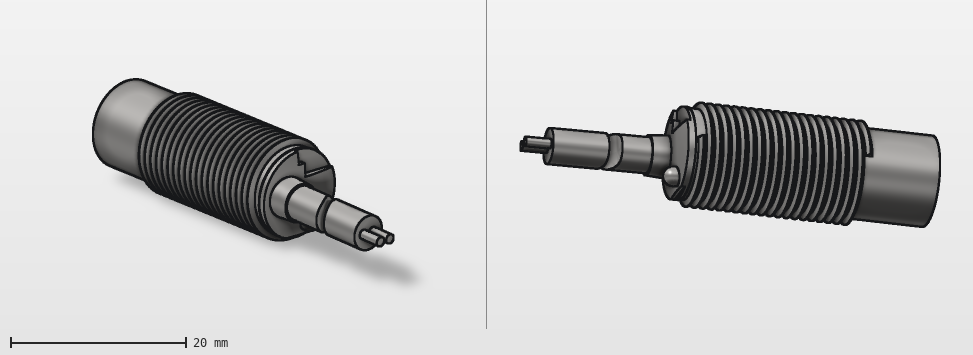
import cadquery as cq
import math

TOTAL_LENGTH = 47.4

HOUSING_RADIUS = 5.25
HOUSING_LENGTH = 29.05
THREAD_RADIUS = 6.0
THREAD_PITCH = 1.0
THREAD_TURNS = 20
THREAD_START = 8.45
THREAD_BASE_WIDTH = 0.95
THREAD_CREST_WIDTH = 0.1
THREAD_ROOT_SINK = 0.15

REAR_TILT = 1.2

CAP_RADIUS = 5.35
CAP_RIM_X = 29.95
CAP_DOME_X = 30.53
DOME_MID_RADIUS = 2.85
DOME_MID_X = 30.4
NOTCH_FLOOR_X = 29.55
NOTCH_STEPS = ((-0.4, 3.8), (0.47, 2.2))
BOTTOM_FLAT_DEPTH = 0.45

CABLE_Y = -2.15
CABLE_Z = 0.3
CABLE_RADIUS = 2.1
GLAND_BASE_RADIUS = 2.45
GLAND_TIP_RADIUS = 2.3
GLAND_END_X = 32.65
BREAK_INNER_X = 36.2
BREAK_MIDDLE_X = 37.8
BREAK_OUTER_X = 39.1
SHEATH_END_X = 44.4
WIRE_RADIUS = 0.55
WIRE_SPACING = 1.4

LIGHT_RADIUS = 1.15
LIGHT_CENTER_X = 30.6
LIGHT_Y = 1.05
LIGHT_Z = -3.35


def rod(radius, start, end, y=0.0, z=0.0):
    """Cylinder along X."""
    return cq.Workplane("YZ", origin=(start, y, z)).circle(radius).extrude(end - start)


def box_between(low, high):
    """Axis-aligned box given by two opposite corners."""
    size = [b - a for a, b in zip(low, high)]
    return cq.Workplane("XY").box(*size, centered=False).translate(low)


def tilt(shape):
    """Lean a shape about the centre of the joint between housing and cap."""
    pivot = (HOUSING_LENGTH, 0, 0)
    return shape.rotate(pivot, (HOUSING_LENGTH, 1, 0), REAR_TILT)


def make_thread():
    """Right-handed helical ridge starting on the +Y side."""
    root_radius = HOUSING_RADIUS - THREAD_ROOT_SINK
    helix = cq.Wire.makeHelix(THREAD_PITCH, THREAD_PITCH * THREAD_TURNS, HOUSING_RADIUS)
    half_base = THREAD_BASE_WIDTH / 2
    half_crest = THREAD_CREST_WIDTH / 2
    ridge = (
        cq.Workplane("XZ")
        .polyline([
            (root_radius, -half_base),
            (THREAD_RADIUS, -half_crest),
            (THREAD_RADIUS, half_crest),
            (root_radius, half_base),
        ])
        .close()
        .sweep(cq.Workplane(helix), isFrenet=True)
    )
    along_x = ridge.rotate((0, 0, 0), (0, 1, 0), 90).rotate((0, 0, 0), (1, 0, 0), 90)
    return along_x.translate((THREAD_START, 0, 0))


def make_housing():
    """Threaded barrel whose rear face matches the leaning cap."""
    barrel = rod(HOUSING_RADIUS, 0, CAP_RIM_X)
    behind_joint = box_between(
        (HOUSING_LENGTH, -2 * CAP_RADIUS, -2 * CAP_RADIUS),
        (TOTAL_LENGTH, 2 * CAP_RADIUS, 2 * CAP_RADIUS),
    )
    return barrel.cut(tilt(behind_joint)).union(make_thread())


def make_cap():
    """Domed disc with a stepped notch on the +Y side and a flat below."""
    cap = (
        cq.Workplane("XY")
        .moveTo(HOUSING_LENGTH, 0)
        .lineTo(HOUSING_LENGTH, CAP_RADIUS)
        .lineTo(CAP_RIM_X, CAP_RADIUS)
        .threePointArc((DOME_MID_X, DOME_MID_RADIUS), (CAP_DOME_X, 0))
        .close()
        .revolve(360, (0, 0, 0), (1, 0, 0))
    )
    for low_y, low_z in NOTCH_STEPS:
        low = (NOTCH_FLOOR_X, low_y, low_z)
        high = (GLAND_END_X, CAP_RADIUS, CAP_RADIUS)
        cap = cap.cut(box_between(low, high))
    flat_low = (NOTCH_FLOOR_X, -CAP_RADIUS, -CAP_RADIUS)
    flat_high = (GLAND_END_X, CAP_RADIUS, BOTTOM_FLAT_DEPTH - CAP_RADIUS)
    return cap.cut(box_between(flat_low, flat_high))


def make_gland():
    """Tapered strain relief around the cable, rooted in the cap."""
    taper = (
        cq.Workplane("YZ", origin=(CAP_DOME_X, CABLE_Y, CABLE_Z))
        .circle(GLAND_BASE_RADIUS)
        .workplane(offset=GLAND_END_X - CAP_DOME_X)
        .circle(GLAND_TIP_RADIUS)
        .loft()
    )
    return taper.union(rod(GLAND_BASE_RADIUS, NOTCH_FLOOR_X, CAP_DOME_X, CABLE_Y, CABLE_Z))


def make_light():
    """Round-nosed indicator light."""
    stem = rod(LIGHT_RADIUS, NOTCH_FLOOR_X, LIGHT_CENTER_X, LIGHT_Y, LIGHT_Z)
    nose = cq.Workplane("XY").sphere(LIGHT_RADIUS).translate((LIGHT_CENTER_X, LIGHT_Y, LIGHT_Z))
    return stem.union(nose)


def cable_piece(outline):
    """Part of the round cable inside an outline drawn in the XY plane."""
    band = outline.close().extrude(CABLE_RADIUS * 2, both=True)
    cable = rod(CABLE_RADIUS, CAP_DOME_X, SHEATH_END_X, CABLE_Y, CABLE_Z)
    return cable.intersect(band)


def make_cable_stub():
    """Cable leaving the gland, ending in an S-shaped break."""
    near_y = CABLE_Y - CABLE_RADIUS
    far_y = CABLE_Y + CABLE_RADIUS
    middle_x = (BREAK_INNER_X + BREAK_MIDDLE_X) / 2
    outline = (
        cq.Workplane("XY")
        .moveTo(CAP_DOME_X, near_y)
        .lineTo(BREAK_MIDDLE_X, near_y)
        .spline(
            [(middle_x, CABLE_Y), (BREAK_INNER_X, far_y)],
            tangents=[(0, 1), (0, 1)],
            includeCurrent=True,
        )
        .lineTo(CAP_DOME_X, far_y)
    )
    return cable_piece(outline)


def make_rear_plug():
    """Cap, gland, light and cable stub as one solid."""
    plug = make_cap().union(make_gland()).union(make_light()).union(make_cable_stub())
    return tilt(plug)


def make_cable_end():
    """Separate cable end with a slanted, curved break and two bare wires."""
    near_y = CABLE_Y - CABLE_RADIUS
    far_y = CABLE_Y + CABLE_RADIUS
    outline = (
        cq.Workplane("XY")
        .moveTo(SHEATH_END_X, near_y)
        .lineTo(BREAK_OUTER_X, near_y)
        .spline(
            [(BREAK_MIDDLE_X, far_y)],
            tangents=[(BREAK_MIDDLE_X - BREAK_OUTER_X, far_y - near_y), (0, 1)],
            includeCurrent=True,
        )
        .lineTo(SHEATH_END_X, far_y)
    )
    cable_end = cable_piece(outline)
    lean = math.radians(REAR_TILT)
    tip_rise = (CABLE_Z + WIRE_RADIUS) * math.sin(lean)
    wire_end = HOUSING_LENGTH + (TOTAL_LENGTH - HOUSING_LENGTH - tip_rise) / math.cos(lean)
    for side in (-1, 1):
        wire_y = CABLE_Y + side * WIRE_SPACING / 2
        wire = rod(WIRE_RADIUS, SHEATH_END_X, wire_end, wire_y, CABLE_Z)
        cable_end = cable_end.union(wire)
    return tilt(cable_end)


housing = make_housing()
rear_plug = make_rear_plug()
cable_end = make_cable_end()

result = cq.Compound.makeCompound([housing.val(), rear_plug.val(), cable_end.val()])